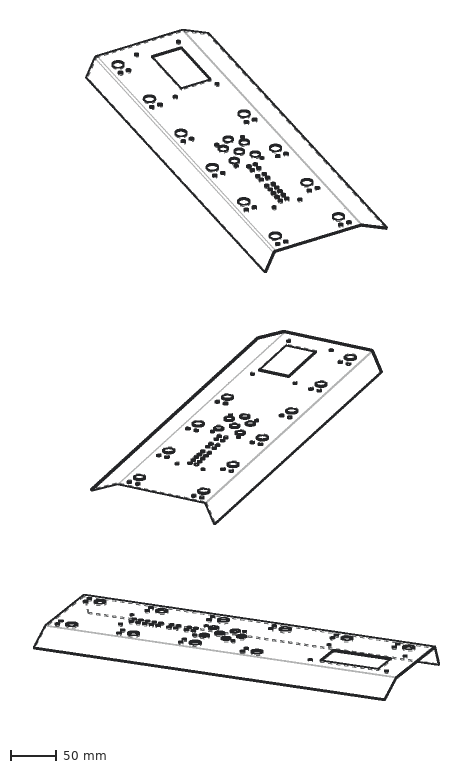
import cadquery as cq
import math

length = 420.0
depth = 152.5
height = 25.5
thickness = 2.0
inner_bend_radius = 1.0
outer_bend_radius = inner_bend_radius + thickness

front_bend_y = -64.5
back_bend_y = 44.0
back_angle = math.radians(25)
top_z = height / 2
angle_refinements = 20
cut_depth = 2 * thickness

knob_diameter = 13.0
button_diameter = 11.0
pin_diameter = 4.5
screw_diameter = 4.0

knob_pitch = 74.0
first_knob_x = -185.0
front_row_y = -49.5
back_row_y = 29.0
knobs_per_row = 6
back_row_skipped = 2
pair_offset_x = 15.0
pair_half_spacing = 5.0

window_center_x = -146.5
window_center_y = 9.0
window_width = 69.5
window_depth = 37.0
window_screw_center_y = 3.5
window_screw_spacing_x = 91.0
window_screw_spacing_y = 52.0

board_center_y = -9.2
button_pitch = 13.0
first_button_x = -2.0
indicator_pitch = 8.0
indicator_groups = [(54.0, 2), (75.0, 2), (96.0, 5)]
board_screw_columns = [1.3, 47.0, 136.0]
board_screw_spacing_y = 32.0


def folded_sheet():
    """Flat panel with a shallow back flange and a steep front flange."""
    front_run = front_bend_y + depth / 2
    front_angle = math.atan2(height, front_run)
    for _ in range(angle_refinements):
        front_angle = math.atan2(height - thickness * math.cos(front_angle), front_run)
    back_run = depth / 2 - back_bend_y

    front_tip = (-depth / 2, top_z - front_run * math.tan(front_angle))
    back_tip = (depth / 2, top_z - back_run * math.tan(back_angle))
    inner_z = top_z - thickness
    front_inner_y = front_bend_y + thickness * math.tan(front_angle / 2)
    back_inner_y = back_bend_y - thickness * math.tan(back_angle / 2)
    front_inner_tip = (
        front_tip[0] + thickness * math.sin(front_angle),
        front_tip[1] - thickness * math.cos(front_angle),
    )
    back_inner_tip = (
        back_tip[0] - thickness * math.sin(back_angle),
        back_tip[1] - thickness * math.cos(back_angle),
    )
    sheet = (
        cq.Workplane("YZ")
        .polyline([
            front_tip,
            (front_bend_y, top_z),
            (back_bend_y, top_z),
            back_tip,
            back_inner_tip,
            (back_inner_y, inner_z),
            (front_inner_y, inner_z),
            front_inner_tip,
        ])
        .close()
        .extrude(length / 2, both=True)
    )
    outer_corners = [(front_bend_y, top_z), (back_bend_y, top_z)]
    inner_corners = [(front_inner_y, inner_z), (back_inner_y, inner_z)]
    for corners, radius in ((outer_corners, outer_bend_radius), (inner_corners, inner_bend_radius)):
        for y, z in corners:
            sheet = sheet.edges(cq.NearestToPointSelector((0, y, z))).fillet(radius)
    return sheet


def drill(sheet, points, diameter):
    """Cut round holes straight through the flat panel."""
    cutters = (
        cq.Workplane("XY", origin=(0, 0, top_z))
        .pushPoints(points)
        .circle(diameter / 2)
        .extrude(-cut_depth)
    )
    return sheet.cut(cutters)


knobs = []
for row_y, first_index in ((front_row_y, 0), (back_row_y, back_row_skipped)):
    for index in range(first_index, knobs_per_row):
        knobs.append((first_knob_x + index * knob_pitch, row_y))

pins = []
for x, y in knobs:
    for side in (-1, 1):
        pins.append((x + pair_offset_x, y + side * pair_half_spacing))

for group_x, count in indicator_groups:
    for index in range(count):
        for side in (-1, 1):
            pins.append((group_x + index * indicator_pitch, board_center_y + side * indicator_pitch / 2))

buttons = []
for column in (0, 2):
    buttons.append((first_button_x + column * button_pitch, board_center_y))
for column in (1, 3):
    for side in (-1, 1):
        buttons.append((first_button_x + column * button_pitch, board_center_y + side * button_pitch))

screws = []
for side_y in (-1, 1):
    for x in board_screw_columns:
        screws.append((x, board_center_y + side_y * board_screw_spacing_y / 2))
    for side_x in (-1, 1):
        screws.append((
            window_center_x + side_x * window_screw_spacing_x / 2,
            window_screw_center_y + side_y * window_screw_spacing_y / 2,
        ))

window = (
    cq.Workplane("XY", origin=(window_center_x, window_center_y, top_z))
    .rect(window_width, window_depth)
    .extrude(-cut_depth)
)

result = folded_sheet().cut(window)
result = drill(result, knobs, knob_diameter)
result = drill(result, buttons, button_diameter)
result = drill(result, pins, pin_diameter)
result = drill(result, screws, screw_diameter)